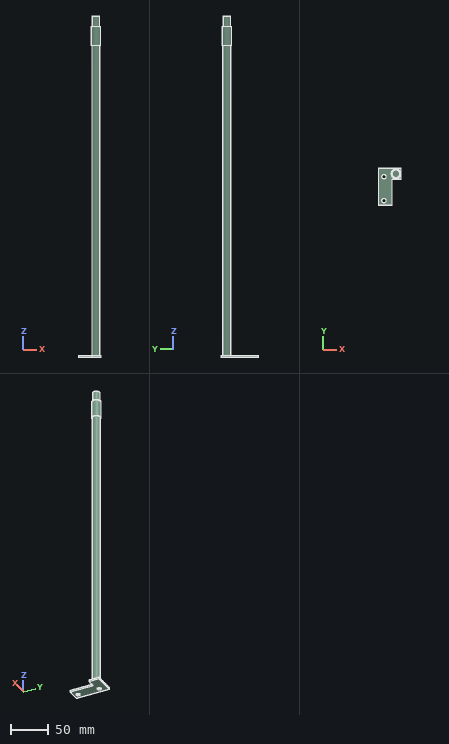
import cadquery as cq

total_height = 457.5

plate_length = 50.0
plate_width = 18.5
plate_thickness = 2.7
tab_reach = 30.0
tab_depth = 15.0

hole_diameter = 5.5
hole_x = 7.5
front_hole_y = 6.5
hole_spacing = 32.0

post_diameter = 11.0
collar_diameter = 13.0
collar_height = 25.0
tip_diameter = 10.0
tip_height = 14.0
post_x = 23.5
post_y = plate_length - tab_depth / 2

tip_base = total_height - tip_height
collar_base = tip_base - collar_height


def cylinder(diameter, bottom, top):
    """Vertical cylinder on the post axis between two levels."""
    return (
        cq.Workplane("XY", origin=(post_x, post_y, bottom))
        .circle(diameter / 2)
        .extrude(top - bottom)
    )


def base_plate():
    """L-shaped plate with two through holes."""
    outline = [
        (0, 0),
        (plate_width, 0),
        (plate_width, plate_length - tab_depth),
        (tab_reach, plate_length - tab_depth),
        (tab_reach, plate_length),
        (0, plate_length),
    ]
    hole_centers = [(hole_x, front_hole_y + i * hole_spacing) for i in range(2)]
    plate = cq.Workplane("XY").polyline(outline).close().extrude(plate_thickness)
    holes = (
        cq.Workplane("XY")
        .pushPoints(hole_centers)
        .circle(hole_diameter / 2)
        .extrude(plate_thickness)
    )
    return plate.cut(holes)


post = cylinder(post_diameter, plate_thickness, collar_base)
collar = cylinder(collar_diameter, collar_base, tip_base)
tip = cylinder(tip_diameter, tip_base, total_height)

result = base_plate().union(post).union(collar).union(tip)